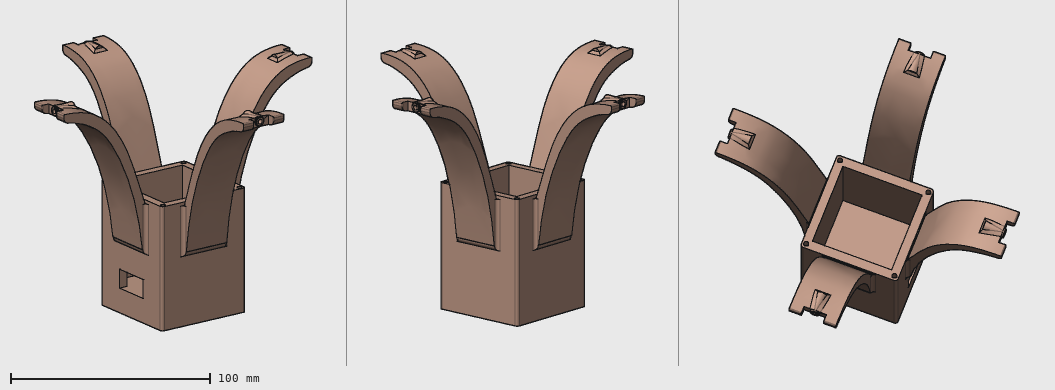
import cadquery as cq
import math

box_side = 52.0
box_height = 65.7
box_corner_radius = 1.5
wall = 4.8
wall_face = box_side / 2
floor_thickness = 13.0

rim_hole_diameter = 2.5
rim_hole_depth = 6.2
rim_hole_offset = 23.7

window_width = 20
window_height = 10.0

arm_count = 4
arm_reach = 76.9
arm_width = 25.0
arm_bottom = 36.9
underside_points = [
    (28.0, arm_bottom),
    (31.2, 58.6),
    (37.4, 79.4),
    (44.8, 94.9),
    (56.0, 108.6),
    (63.7, 112.9),
    (69.2, 114.9),
    (arm_reach, 116.3),
]
underside_start_slope = (0.1, 1)
underside_end_slope = (1, 0.12)
topside_points = [
    (23.8, 55.4),
    (27.7, 66.7),
    (32.6, 81.2),
    (41.4, 100.7),
    (51.8, 113.2),
    (61.7, 118.7),
    (69.2, 120.5),
    (arm_reach, 120.9),
]
topside_start_slope = (0.2, 1)
topside_end_slope = (1, 0)
arm_edge_radius = 2.9
tip_top_radius = 0.6

root_top = 63.8
root_radius = 1.8

notch_width = 12.0
notch_depth = 4.2
notch_corner_radius = 0.5

nozzle_axis_height = 118.7
nozzle_outer_end = 73.8
nozzle_inner_end = 62.8
nozzle_face_diameter = 4.5
nozzle_small_diameter = 5.0
nozzle_large_diameter = 5.8
nozzle_bore_diameter = 2.5
nozzle_bore_depth = 4.6
nozzle_nose = (nozzle_small_diameter - nozzle_face_diameter) / 2

skirt_size = 1.2
seam_height = 1.7


def make_box():
    body = cq.Workplane("XY").box(box_side, box_side, box_height, centered=(True, True, False))
    body = body.edges("|Z").fillet(box_corner_radius)
    cavity_side = box_side - 2 * wall
    cavity = (
        cq.Workplane("XY")
        .workplane(offset=floor_thickness)
        .rect(cavity_side, cavity_side)
        .extrude(box_height - floor_thickness)
    )
    window = (
        cq.Workplane("XY")
        .box(window_width, 2 * wall, window_height, centered=(True, True, False))
        .translate((0, -wall_face, floor_thickness))
    )
    rim_holes = (
        cq.Workplane("XY")
        .workplane(offset=box_height)
        .rect(2 * rim_hole_offset, 2 * rim_hole_offset, forConstruction=True)
        .vertices()
        .circle(rim_hole_diameter / 2)
        .extrude(-rim_hole_depth)
    )
    return body.cut(cavity).cut(window).cut(rim_holes)


def make_curve(points, start_slope, end_slope):
    """Spline in the XZ plane with given directions at both ends."""
    return cq.Edge.makeSpline(
        [cq.Vector(u, 0, z) for u, z in points],
        tangents=[cq.Vector(u, 0, z) for u, z in (start_slope, end_slope)],
    )


def make_blade():
    """Bent strip ending in a vertical tip face."""
    underside = make_curve(underside_points, underside_start_slope, underside_end_slope)
    topside = make_curve(topside_points, topside_start_slope, topside_end_slope)
    tip = cq.Edge.makeLine(underside.endPoint(), topside.endPoint())
    foot = cq.Edge.makeLine(topside.startPoint(), underside.startPoint())
    outline = cq.Wire.assembleEdges([underside, tip, topside, foot])
    blade = cq.Workplane("XZ").add(outline).toPending().extrude(arm_width)
    blade = blade.translate((0, arm_width / 2, 0))
    blade = blade.faces(">X").edges("|Y").edges("<Z").fillet(arm_edge_radius)
    return blade.faces(">X").edges("|Y").edges(">Z").fillet(tip_top_radius)


def make_root():
    """Pad between blade and wall; its flanks are hollow arcs that run out into the wall."""
    inner_face = wall_face - wall / 2
    outer_face = wall_face + root_radius
    half_width = arm_width / 2
    bend = root_radius * (1 - math.sqrt(0.5))
    plan = (
        cq.Workplane("XY")
        .workplane(offset=arm_bottom)
        .moveTo(outer_face, half_width)
        .threePointArc((wall_face + bend, half_width + bend), (wall_face, half_width + root_radius))
        .lineTo(inner_face, half_width + root_radius)
        .lineTo(inner_face, -half_width - root_radius)
        .lineTo(wall_face, -half_width - root_radius)
        .threePointArc((wall_face + bend, -half_width - bend), (outer_face, -half_width))
        .close()
    )
    return plan.extrude(root_top - arm_bottom)


def make_bottom_rounding():
    """Waste outside the rounded lower edge of the blade and its root."""
    u, z = underside_points[0]
    waste_width = 2 * arm_width
    block = (
        cq.Workplane("XY")
        .box(2 * arm_edge_radius, waste_width, arm_edge_radius, centered=(False, True, False))
        .translate((u - arm_edge_radius, 0, z))
    )
    round_edge = (
        cq.Workplane("XZ", origin=(u - arm_edge_radius, arm_width, z + arm_edge_radius))
        .circle(arm_edge_radius)
        .extrude(waste_width)
    )
    return block.cut(round_edge)


def make_notch():
    """Tip notch whose mouth flares out through rounded corners."""
    floor = arm_reach - notch_depth
    half_width = notch_width / 2
    bend = notch_corner_radius * (1 - math.sqrt(0.5))
    shoulder = arm_reach - notch_corner_radius
    mouth = half_width + notch_corner_radius
    return (
        cq.Workplane("XY")
        .moveTo(floor, half_width)
        .lineTo(shoulder, half_width)
        .threePointArc((arm_reach - bend, half_width + bend), (arm_reach, mouth))
        .lineTo(arm_reach, -mouth)
        .threePointArc((arm_reach - bend, -half_width - bend), (shoulder, -half_width))
        .lineTo(floor, -half_width)
        .close()
        .extrude(2 * nozzle_axis_height)
    )


def make_nozzle():
    """Tapered tube with a chamfered nose, widening toward the box."""
    nose_base = nozzle_outer_end - nozzle_nose
    return (
        cq.Workplane("XY")
        .moveTo(nozzle_inner_end, 0)
        .lineTo(nozzle_inner_end, nozzle_large_diameter / 2)
        .lineTo(nose_base, nozzle_small_diameter / 2)
        .lineTo(nozzle_outer_end, nozzle_face_diameter / 2)
        .lineTo(nozzle_outer_end, 0)
        .close()
        .revolve(360, (0, 0, 0), (1, 0, 0))
        .translate((0, 0, nozzle_axis_height))
    )


def make_arm():
    bore = (
        cq.Workplane("YZ", origin=(nozzle_outer_end, 0, nozzle_axis_height))
        .circle(nozzle_bore_diameter / 2)
        .extrude(-nozzle_bore_depth)
    )
    arm = make_blade().union(make_root()).cut(make_bottom_rounding()).cut(make_notch())
    arm = arm.union(make_nozzle())
    nozzle_middle = (nozzle_inner_end + nozzle_outer_end) / 2
    seam = cq.selectors.BoxSelector(
        (nozzle_inner_end - skirt_size, -nozzle_large_diameter, nozzle_axis_height),
        (nozzle_middle + skirt_size, nozzle_large_diameter, nozzle_axis_height + seam_height),
    )
    arm = arm.edges(seam).chamfer(skirt_size)
    return arm.cut(bore)


result = make_box()
arm = make_arm()
for index in range(arm_count):
    result = result.union(arm.rotate((0, 0, 0), (0, 0, 1), index * 360 / arm_count))